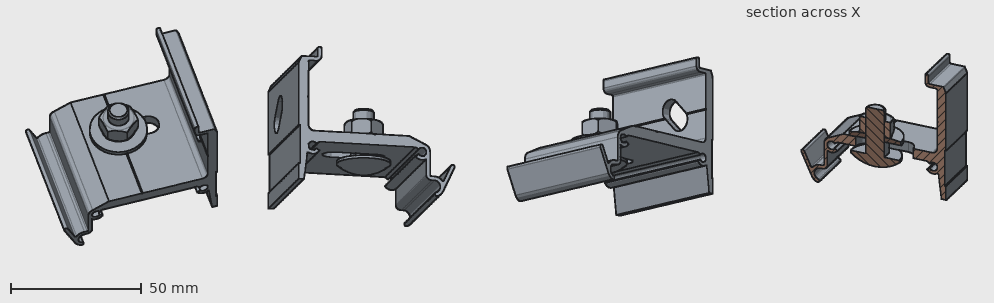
import cadquery as cq
import math

LENGTH = 50.0
SHEET = 1.6
INNER_RADIUS = 0.5

WALL_THICKNESS = 3.85
WALL_TOP = 29.1
WALL_BOTTOM = -19.2
BEVEL_DEPTH = 1.1
BEVEL_RADIUS = 0.3
BEVEL_HEIGHT = 2.5
RELIEF_DEPTH = 0.5
RELIEF_TOP = 1.95
RELIEF_BOTTOM = -13.1
FOOT_TOP_WIDTH = 3.35
FOOT_WIDTH = 2.1
FOOT_TOP = -8.7
WALL_FILLET = 2.15

LIP_FRONT = 9.0
LIP_TOP = 33.05

FLOOR_THICKNESS = 4.3
SLOPE_START = 43.3
SLOPE_ANGLE = 25.0
LEG_FRONT = 51.6
LEG_SHOULDER_RADIUS = 3.05
BAR_TOP = -15.3

BOSS_BORE_RADIUS = 1.65
BOSS_OUTER_RADIUS = 3.2
BOSS_REAR = 5.45
BOSS_FRONT = 48.45
BOSS_HEIGHT = -6.0
BOSS_GAP_HALF_ANGLE = 33.0

HOOK_U = 53.15
HOOK_OUTER_RADIUS = 4.0
HOOK_Z = BAR_TOP - HOOK_OUTER_RADIUS
HOOK_END_ANGLE = -70.0
ARM_ANGLE = 25.0
ARM_VALLEY_RADIUS = 0.4
ARM_TIP_U = 60.45

GROOVE_WIDTH = 0.5
GROOVE_DEPTH = 0.25
WALL_GROOVE_Z = 13.35
SLOT_WIDTH = 8.2
WALL_SLOT_X = 33.45
WALL_SLOT_Z = 13.85
WALL_SLOT_SPACING = 7.15
WALL_SLOT_ANGLE = -45.0
FLOOR_SLOT_SPACING = 16.0

BOLT_X = 19.05
BOLT_U = 30.0
BOLT_DIAMETER = 8.0
BOLT_TOP = 13.65
BOLT_TIP_DIAMETER = 6.7
BOLT_TIP_HEIGHT = 0.8
HEAD_DIAMETER = 20.65
HEAD_TOP = -6.3
HEAD_RIM = 1.1
HEAD_DOME = 3.85
WASHER_DIAMETER = 22.0
WASHER_RIM = 1.65
WASHER_HEIGHT = 2.25
NUT_WIDTH = 13.0
NUT_FACE_HEIGHT = 0.35
NUT_TOP = 9.05
NUT_TOP_FLAT = 11.9
NUT_ROUNDING = 1.65
NUT_TURN = 9.5

SAME_POINT = 6.12e-07


def section_plane():
    """Plane whose local axes are u (forward) and z."""
    return cq.Workplane(cq.Plane(origin=(0, 0, 0), xDir=(0, -1, 0), normal=(-1, 0, 0)))


def polar(center, radius, angle):
    """Point at an angle, in degrees, on a circle."""
    turn = math.radians(angle)
    return center[0] + radius * math.cos(turn), center[1] + radius * math.sin(turn)


def prism(sketch):
    """Extrude a closed section over the bracket's length."""
    return sketch.extrude(-LENGTH)


def rod(center, radius):
    return prism(section_plane().center(*center).circle(radius))


def rounded_prism(corners):
    """Prism whose section has the corners (u, z, rounding radius)."""
    rounds = []
    for index, (u, z, radius) in enumerate(corners):
        corner = cq.Vector(u, z)
        before = (cq.Vector(*corners[index - 1][:2]) - corner).normalized()
        after = (cq.Vector(*corners[(index + 1) % len(corners)][:2]) - corner).normalized()
        half_angle = before.getAngle(after) / 2
        tangent_length = radius / math.tan(half_angle)
        middle_distance = radius / math.sin(half_angle) - radius
        middle = corner + (before + after).normalized() * middle_distance
        rounds.append((corner + before * tangent_length, middle, corner + after * tangent_length, radius))

    sketch = section_plane().moveTo(*rounds[0][2].toTuple()[:2])
    end = rounds[0][2]
    for start, middle, finish, radius in rounds[1:] + rounds[:1]:
        if (start - end).Length > SAME_POINT:
            sketch = sketch.lineTo(start.x, start.y)
        if radius > 0:
            sketch = sketch.threePointArc((middle.x, middle.y), (finish.x, finish.y))
        end = finish
    return prism(sketch.close())


def main_profile():
    """Wall with its lip, floor, front leg and the bar that carries the clip."""
    slope_drop = (LEG_FRONT - SLOPE_START) * math.tan(math.radians(SLOPE_ANGLE))
    lip_rear = LIP_FRONT - SHEET
    leg_rear = LEG_FRONT - SHEET
    outer_bend = INNER_RADIUS + SHEET
    return rounded_prism([
        (0, RELIEF_TOP, 0),
        (0, WALL_TOP - BEVEL_HEIGHT, 0),
        (BEVEL_DEPTH, WALL_TOP, BEVEL_RADIUS),
        (lip_rear, WALL_TOP, INNER_RADIUS),
        (lip_rear, LIP_TOP, SHEET / 2),
        (LIP_FRONT, LIP_TOP, SHEET / 2),
        (LIP_FRONT, WALL_TOP - SHEET, outer_bend),
        (WALL_THICKNESS, WALL_TOP - SHEET, INNER_RADIUS),
        (WALL_THICKNESS, 0, WALL_FILLET),
        (SLOPE_START, 0, 0),
        (LEG_FRONT, -slope_drop, LEG_SHOULDER_RADIUS),
        (LEG_FRONT, BAR_TOP, INNER_RADIUS),
        (HOOK_U, BAR_TOP, 0),
        (HOOK_U, BAR_TOP - SHEET, 0),
        (leg_rear, BAR_TOP - SHEET, outer_bend),
        (leg_rear, -FLOOR_THICKNESS, 0),
        (WALL_THICKNESS, -FLOOR_THICKNESS, 0),
        (WALL_THICKNESS, FOOT_TOP, 0),
        (FOOT_TOP_WIDTH, FOOT_TOP, 0),
        (FOOT_WIDTH, WALL_BOTTOM, 0),
        (0, WALL_BOTTOM, 0),
        (0, RELIEF_BOTTOM, 0),
        (RELIEF_DEPTH, RELIEF_BOTTOM, 0),
        (RELIEF_DEPTH, RELIEF_TOP, 0),
    ])


def add_screw_boss(body, u, facing):
    """Add a C-shaped boss that opens forward (facing = 1) or backward (facing = -1)."""
    center = (u, BOSS_HEIGHT)
    gap_end = u + facing * BOSS_OUTER_RADIUS
    gap_rise = BOSS_OUTER_RADIUS * math.tan(math.radians(BOSS_GAP_HALF_ANGLE))
    gap = prism(section_plane().polyline([
        center, (gap_end, BOSS_HEIGHT + gap_rise), (gap_end, BOSS_HEIGHT - gap_rise),
    ]).close())

    size = 2 * BOSS_OUTER_RADIUS
    region_u = u + facing * (BOSS_OUTER_RADIUS - BOSS_BORE_RADIUS)
    region = prism(section_plane().center(region_u, -FLOOR_THICKNESS - size / 2).rect(size, size))
    ring = rod(center, BOSS_OUTER_RADIUS).intersect(region).cut(gap)
    return body.union(ring).cut(rod(center, BOSS_BORE_RADIUS))


def clip():
    """Curved hook with a rounded end, and the arm that rises tangentially from it."""
    center = (HOOK_U, HOOK_Z)
    inner_radius = HOOK_OUTER_RADIUS - SHEET
    middle_radius = HOOK_OUTER_RADIUS - SHEET / 2
    middle_angle = (90 + HOOK_END_ANGLE) / 2
    end_middle = polar(center, middle_radius, HOOK_END_ANGLE)
    end_crest = polar(end_middle, SHEET / 2, HOOK_END_ANGLE - 90)
    hook = prism(
        section_plane()
        .moveTo(*polar(center, HOOK_OUTER_RADIUS, 90))
        .threePointArc(polar(center, HOOK_OUTER_RADIUS, middle_angle),
                       polar(center, HOOK_OUTER_RADIUS, HOOK_END_ANGLE))
        .threePointArc(end_crest, polar(center, inner_radius, HOOK_END_ANGLE))
        .threePointArc(polar(center, inner_radius, middle_angle), polar(center, inner_radius, 90))
        .close()
    )

    rise_angle = 90 - ARM_ANGLE
    arm_start = polar(center, middle_radius, -ARM_ANGLE)
    arm_length = (ARM_TIP_U - arm_start[0]) / math.cos(math.radians(rise_angle))
    tip = polar(arm_start, arm_length, rise_angle)
    arm = prism(
        section_plane()
        .moveTo(*polar(center, HOOK_OUTER_RADIUS, -ARM_ANGLE))
        .lineTo(*polar(tip, SHEET / 2, -ARM_ANGLE))
        .threePointArc(polar(tip, SHEET / 2, rise_angle), polar(tip, SHEET / 2, 180 - ARM_ANGLE))
        .lineTo(*polar(center, inner_radius, -ARM_ANGLE))
        .close()
    )

    valley_angle = math.degrees(math.acos(inner_radius / HOOK_OUTER_RADIUS)) - ARM_ANGLE
    valley = polar(center, HOOK_OUTER_RADIUS, valley_angle)
    valley_edge = cq.NearestToPointSelector((LENGTH / 2, -valley[0], valley[1]))
    return hook.union(arm).edges(valley_edge).fillet(ARM_VALLEY_RADIUS)


def groove(u, z, turn):
    """V-groove along X cut into a face at (u, z)."""
    half = GROOVE_WIDTH / 2
    return prism(section_plane().center(u, z).transformed(rotate=(0, 0, turn))
                 .polyline([(-half, 0), (half, 0), (0, -GROOVE_DEPTH)]).close())


def wall_slot():
    """Slanting slot through the wall."""
    return (
        cq.Workplane("XZ", origin=(WALL_SLOT_X, 0, WALL_SLOT_Z))
        .slot2D(WALL_SLOT_SPACING + SLOT_WIDTH, SLOT_WIDTH, WALL_SLOT_ANGLE)
        .extrude(WALL_THICKNESS)
    )


def floor_slot():
    """Slot through the floor; the bolt's square neck fills its front end."""
    center_u = BOLT_U + BOLT_DIAMETER / 2 - FLOOR_SLOT_SPACING / 2
    return (
        cq.Workplane("XY", origin=(BOLT_X, -center_u, 0))
        .slot2D(FLOOR_SLOT_SPACING + SLOT_WIDTH, SLOT_WIDTH, 90)
        .extrude(-FLOOR_THICKNESS)
    )


def make_bracket():
    body = main_profile()
    body = add_screw_boss(body, BOSS_REAR, 1)
    body = add_screw_boss(body, BOSS_FRONT, -1)
    body = body.union(clip())
    body = body.cut(groove(WALL_THICKNESS, WALL_GROOVE_Z, -90)).cut(groove(BOLT_U, 0, 0))
    return body.cut(wall_slot()).cut(floor_slot())


def bolt_axis(z=0):
    """Horizontal plane at height z, centred on the bolt's axis."""
    return cq.Workplane("XY", origin=(BOLT_X, -BOLT_U, z))


def turned(outline):
    """Solid of revolution about the bolt's axis, from (radius, z) points."""
    return (
        cq.Workplane("XZ", origin=(BOLT_X, -BOLT_U, 0))
        .polyline(outline).close()
        .revolve(360, (0, 0), (0, 1))
    )


def make_bolt():
    """Domed head, square neck up to the floor's top face, and round shank."""
    head_radius = HEAD_DIAMETER / 2
    rim_bottom = HEAD_TOP - HEAD_RIM
    dome_radius = (head_radius ** 2 + HEAD_DOME ** 2) / (2 * HEAD_DOME)
    half_rim = head_radius / 2
    half_sag = dome_radius - math.sqrt(dome_radius ** 2 - half_rim ** 2)
    dome_bottom = rim_bottom - HEAD_DOME
    head = (
        cq.Workplane("XZ", origin=(BOLT_X, -BOLT_U, 0))
        .moveTo(0, HEAD_TOP)
        .lineTo(head_radius, HEAD_TOP)
        .lineTo(head_radius, rim_bottom)
        .threePointArc((half_rim, dome_bottom + half_sag), (0, dome_bottom))
        .close()
        .revolve(360, (0, 0), (0, 1))
    )
    neck = bolt_axis(HEAD_TOP).rect(BOLT_DIAMETER, BOLT_DIAMETER).extrude(-HEAD_TOP)
    shank = turned([
        (0, HEAD_TOP),
        (BOLT_DIAMETER / 2, HEAD_TOP),
        (BOLT_DIAMETER / 2, BOLT_TOP - BOLT_TIP_HEIGHT),
        (BOLT_TIP_DIAMETER / 2, BOLT_TOP),
        (0, BOLT_TOP),
    ])
    return head.union(neck).union(shank)


def make_washer():
    """Washer with a cylindrical rim and a conical top that rises to the nut."""
    return turned([
        (BOLT_DIAMETER / 2, 0),
        (WASHER_DIAMETER / 2, 0),
        (WASHER_DIAMETER / 2, WASHER_RIM),
        (NUT_WIDTH / 2, WASHER_HEIGHT),
        (BOLT_DIAMETER / 2, WASHER_HEIGHT),
    ])


def make_nut():
    """Hexagon nut with rounded corners and a round bearing face."""
    hex_bottom = WASHER_HEIGHT + NUT_FACE_HEIGHT
    hex_height = NUT_TOP - hex_bottom
    corner_diameter = NUT_WIDTH / math.cos(math.radians(30))
    hexagon = (
        bolt_axis(hex_bottom)
        .transformed(rotate=(0, 0, NUT_TURN))
        .polygon(6, corner_diameter)
        .extrude(hex_height)
    )
    rounded_drum = (
        bolt_axis(hex_bottom)
        .circle(NUT_TOP_FLAT / 2 + NUT_ROUNDING)
        .extrude(hex_height)
        .edges().fillet(NUT_ROUNDING)
    )
    bearing_face = bolt_axis(WASHER_HEIGHT).circle(NUT_WIDTH / 2).extrude(NUT_FACE_HEIGHT)
    bore = bolt_axis(WASHER_HEIGHT).circle(BOLT_DIAMETER / 2).extrude(NUT_TOP - WASHER_HEIGHT)
    return hexagon.intersect(rounded_drum).union(bearing_face).cut(bore)


bracket = make_bracket()
bolt = make_bolt()
washer = make_washer()
nut = make_nut()

result = cq.Compound.makeCompound([
    bracket.solids().val(),
    bolt.solids().val(),
    washer.val(),
    nut.solids().val(),
])